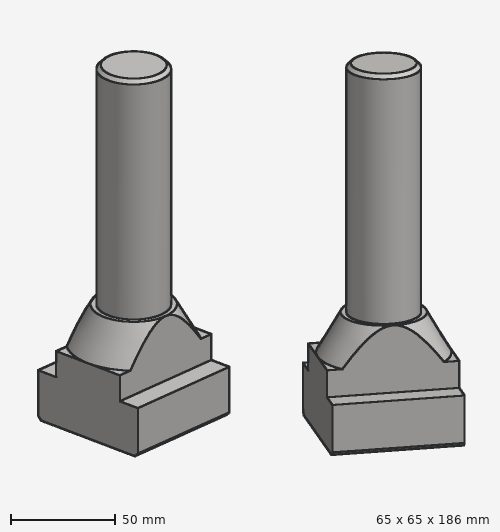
import cadquery as cq
import math

head_side = 65.0
head_height = 26.0
head_bottom_chamfer = 2.0

neck_width = 41.5
neck_top = 60.0
neck_cone_slope = math.radians(60)
neck_cone_height = (head_side - neck_width) / 2 * math.tan(neck_cone_slope)
neck_block_top = neck_top - neck_cone_height

shank_diameter = 36.0
tip_diameter = 31.67
tip_bevel = (shank_diameter - tip_diameter) / 2
total_height = 186.0


def revolve_profile(points):
    """Solid of revolution about Z from a closed (radius, height) outline."""
    return cq.Workplane("XZ").polyline(points).close().revolve(360, (0, 0, 0), (0, 1, 0))


def make_block(x_size, y_size, bottom, top):
    """Box centred on the Z axis between two heights."""
    return cq.Workplane("XY").workplane(offset=bottom).rect(x_size, y_size).extrude(top - bottom)


def make_head():
    """Square head with its two lower edges along Y chamfered."""
    head = make_block(head_side, head_side, 0, head_height)
    return head.faces("<Z").edges("|Y").chamfer(head_bottom_chamfer)


def make_neck():
    """Flat-sided block below a cone that the same two flat sides trim."""
    lower_block = make_block(neck_width, head_side, head_height, neck_block_top)
    cone = revolve_profile([
        (0, neck_block_top),
        (head_side / 2, neck_block_top),
        (neck_width / 2, neck_top),
        (0, neck_top),
    ])
    trimming_block = make_block(neck_width, head_side, neck_block_top, neck_top)
    return lower_block.union(cone.intersect(trimming_block))


def make_shank():
    """Round shank with a bevelled tip."""
    return revolve_profile([
        (0, neck_top),
        (shank_diameter / 2, neck_top),
        (shank_diameter / 2, total_height - tip_bevel),
        (tip_diameter / 2, total_height),
        (0, total_height),
    ])


result = make_head().union(make_neck()).union(make_shank())